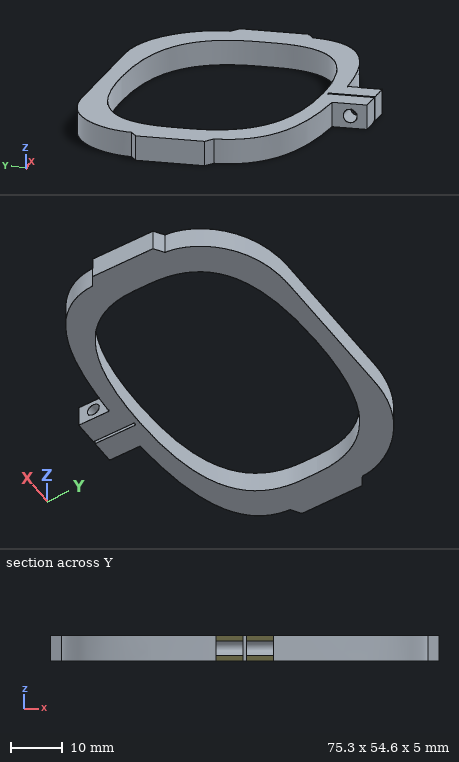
import cadquery as cq

WIDTH = 75.3
DEPTH = 54.6
THICKNESS = 5.0

HALF_WIDTH = WIDTH / 2
SHOULDER_X = 35.5
SHOULDER_TOP_Y = 39.0
SHOULDER_BOTTOM_Y = 22.35
PAD_TOP_Y = 37.55
PAD_BOTTOM_Y = 23.7
TOP_FLAT_HALF = 15.5

LUG_HALF_WIDTH = 5.6
LUG_ROOT_Y = 7.0
SLIT_WIDTH = 0.6
SLIT_END_Y = 9.3
SCREW_HOLE_DIAMETER = 2.7
SCREW_HOLE_Y = 3.4

OPENING_HALF_WIDTH = 30.0
OPENING_TOP_Y = 50.9
OPENING_BOTTOM_Y = 10.4
OPENING_SIDE_TOP_Y = 32.15
OPENING_SIDE_BOTTOM_Y = 28.5

BACK_RIM = [(28.6, DEPTH), (35.3, 45.2)]
FRONT_RIM = [(34.8, 9.9), (19.3, 7.6)]
BACK_OPENING = [(19.1, OPENING_TOP_Y), (OPENING_HALF_WIDTH, 46.2)]
FRONT_OPENING = [(OPENING_HALF_WIDTH, 15.4), (19.4, OPENING_BOTTOM_Y)]


def mirrored(points):
    """Reflect points across the Y axis, reversing them to keep the travel direction."""
    return [(-x, y) for x, y in reversed(points)]


def add_curve(sketch, controls, end):
    """Continue the outline with a cubic curve to the given end point."""
    return sketch.bezier([*controls, end], includeCurrent=True)


def rim_body():
    """Solid plate with the rim outline, side pads and clamp lugs."""
    pad = [
        (SHOULDER_X, SHOULDER_TOP_Y),
        (HALF_WIDTH, PAD_TOP_Y),
        (HALF_WIDTH, PAD_BOTTOM_Y),
        (SHOULDER_X, SHOULDER_BOTTOM_Y),
    ]
    lug = [(LUG_HALF_WIDTH, LUG_ROOT_Y), (LUG_HALF_WIDTH, 0)]
    left_pad = mirrored(pad)
    left_lug = mirrored(lug)

    outline = cq.Workplane("XY").moveTo(-TOP_FLAT_HALF, DEPTH).lineTo(TOP_FLAT_HALF, DEPTH)
    outline = add_curve(outline, BACK_RIM, pad[0])
    for point in pad[1:]:
        outline = outline.lineTo(*point)
    outline = add_curve(outline, FRONT_RIM, lug[0])
    for point in lug[1:] + left_lug:
        outline = outline.lineTo(*point)
    outline = add_curve(outline, mirrored(FRONT_RIM), left_pad[0])
    for point in left_pad[1:]:
        outline = outline.lineTo(*point)
    outline = add_curve(outline, mirrored(BACK_RIM), (-TOP_FLAT_HALF, DEPTH))
    return outline.close().extrude(THICKNESS)


def opening():
    """Cutter for the rounded central opening."""
    top = (0, OPENING_TOP_Y)
    bottom = (0, OPENING_BOTTOM_Y)
    outline = cq.Workplane("XY").moveTo(*top)
    outline = add_curve(outline, BACK_OPENING, (OPENING_HALF_WIDTH, OPENING_SIDE_TOP_Y))
    outline = outline.lineTo(OPENING_HALF_WIDTH, OPENING_SIDE_BOTTOM_Y)
    outline = add_curve(outline, FRONT_OPENING, bottom)
    outline = add_curve(outline, mirrored(FRONT_OPENING), (-OPENING_HALF_WIDTH, OPENING_SIDE_BOTTOM_Y))
    outline = outline.lineTo(-OPENING_HALF_WIDTH, OPENING_SIDE_TOP_Y)
    outline = add_curve(outline, mirrored(BACK_OPENING), top)
    return outline.close().extrude(THICKNESS)


def clamp_slit():
    """Cutter for the narrow slit between the lugs, stopping short of the opening."""
    return cq.Workplane("XY").rect(SLIT_WIDTH, 2 * SLIT_END_Y).extrude(THICKNESS)


def screw_hole():
    """Cutter for the clamp screw hole along X through both lugs."""
    return (
        cq.Workplane("YZ")
        .center(SCREW_HOLE_Y, THICKNESS / 2)
        .circle(SCREW_HOLE_DIAMETER / 2)
        .extrude(LUG_HALF_WIDTH, both=True)
    )


result = rim_body().cut(opening()).cut(clamp_slit()).cut(screw_hole())